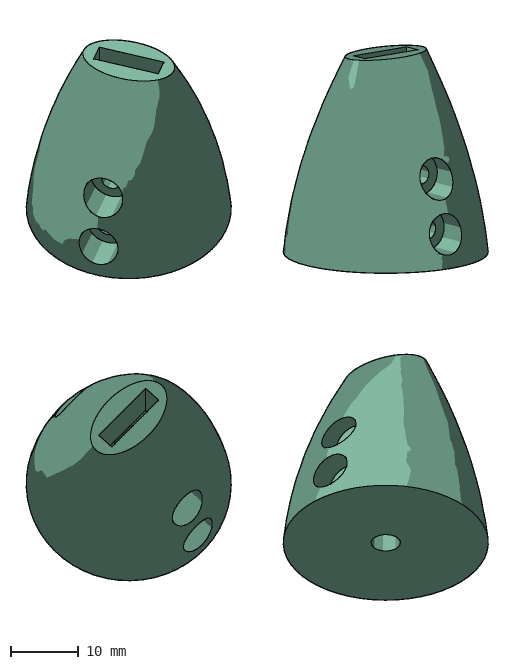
import cadquery as cq

height = 30.0
base_diameter = 30.2
top_length_x = 13.98
top_length_y = 8.0
base_taper_x = 5.6
base_taper_y = 6.8
section_count = 6

screw_diameter = 2.8
head_diameter = 6.0
lower_screw_height = 5.0
upper_screw_height = 13.0
lower_floor_offset = 9.97
upper_floor_offset = 8.37

slot_length = 10.03
slot_width = 2.63
slot_depth = 10.0
bore_diameter = 4.3


def section_width(top_width, base_taper, fraction):
    """Width at a fraction of the height, falling off as a parabola."""
    curvature = base_diameter - top_width - base_taper
    return base_diameter - base_taper * fraction - curvature * fraction**2


def make_body():
    """Loft smoothly through elliptical sections from base to top."""
    sections = cq.Workplane("XY")
    spacing = height / (section_count - 1)
    for index in range(section_count):
        fraction = index / (section_count - 1)
        radius_x = section_width(top_length_x, base_taper_x, fraction) / 2
        radius_y = section_width(top_length_y, base_taper_y, fraction) / 2
        if index > 0:
            sections = sections.workplane(offset=spacing)
        sections = sections.ellipse(radius_x, radius_y)
    return sections.loft(combine=True)


def cut_screw_hole(body, hole_height, floor_offset):
    """Cut one through hole and the head recess on each side."""
    plane = cq.Workplane("XZ").center(0, hole_height)
    through_hole = plane.circle(screw_diameter / 2).extrude(base_diameter / 2, both=True)
    body = body.cut(through_hole)
    for side in (-1, 1):
        recess = (
            plane.workplane(offset=side * floor_offset)
            .circle(head_diameter / 2)
            .extrude(side * base_diameter / 2)
        )
        body = body.cut(recess)
    return body


result = make_body()
result = cut_screw_hole(result, lower_screw_height, lower_floor_offset)
result = cut_screw_hole(result, upper_screw_height, upper_floor_offset)

slot = (
    cq.Workplane("XY")
    .workplane(offset=height)
    .rect(slot_length, slot_width)
    .extrude(-slot_depth)
)
bore = cq.Workplane("XY").circle(bore_diameter / 2).extrude(height - slot_depth)
result = result.cut(slot).cut(bore)